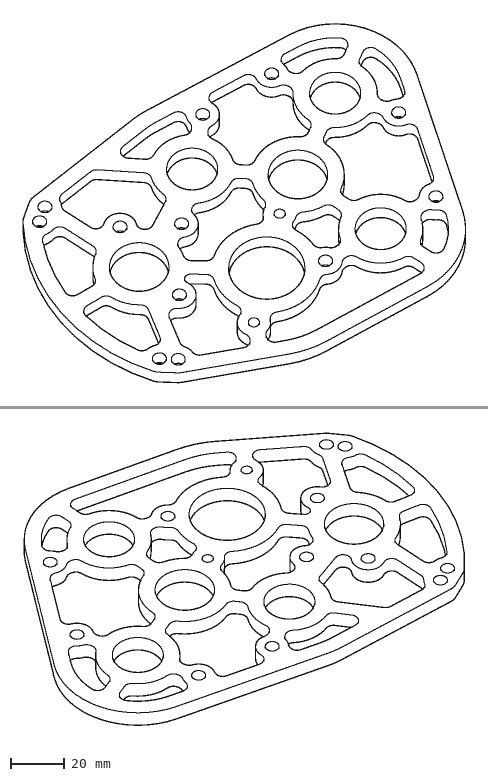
import cadquery as cq
import math

thickness = 6.5
rim_wall = thickness
wall = 6.3
bolt_radius = 2.6
dowel_radius = 2.0
boss_radius = wall
pitch_radius = 25.4
rim_radius = 31.8
wide_rim_radius = 40.3
bottom_y = -36.0

corner_radius = 3.1
tight_corner_radius = 2.0
tight_corner = (13.7, 11.8)
tight_corner_reach = 5.2

small_bore = 9.5
medium_bore = 11.1
large_bore = 14.3
low = (0, 0)
middle = (0, 73.0)
right = (28.2, 38.6)
left = (-25.0, 42.2)
top_left = (-22.2, 106.0)
top_right = (38.2, 83.8)
bores = [
    (low, medium_bore),
    (middle, medium_bore),
    (right, large_bore),
    (left, small_bore),
    (top_left, small_bore),
    (top_right, small_bore),
]


def polar(centre, radius, angle):
    """Point at a radius and an angle in degrees from a centre."""
    turn = math.radians(angle)
    return (centre[0] + radius * math.cos(turn), centre[1] + radius * math.sin(turn))


top_left_pair_angle = 34
top_right_pair_angle = 90
left_pair_angle = 135.5
right_pair_angle = 133.5
top_bolt = polar(top_left, pitch_radius, top_left_pair_angle)
upper_left_bolt = polar(top_left, pitch_radius, top_left_pair_angle + 180)
upper_right_bolt = polar(top_right, pitch_radius, top_right_pair_angle)
lower_right_bolt = polar(top_right, pitch_radius, top_right_pair_angle + 180)
lower_left_bolt = polar(left, pitch_radius, left_pair_angle)
centre_bolt = polar(left, pitch_radius, left_pair_angle + 180)
inner_dowel = polar(right, pitch_radius, right_pair_angle)
outer_dowel = polar(right, pitch_radius, right_pair_angle + 180)
dowels = [inner_dowel, outer_dowel]
bolts = [
    top_bolt,
    upper_left_bolt,
    upper_right_bolt,
    lower_right_bolt,
    lower_left_bolt,
    centre_bolt,
]

inner_bolt_x, inner_bolt_y = 19.1, 4.9
side_bolt_x, side_bolt_y = 43.0, -12.7
corner_bolt_x, corner_bolt_y = 38.6, -18.3
for side in (-1, 1):
    bolts.append((side * inner_bolt_x, inner_bolt_y))
    bolts.append((side * side_bolt_x, side_bolt_y))
    bolts.append((side * corner_bolt_x, corner_bolt_y))

boss_level = bottom_y + boss_radius
corner_bolt_rise = corner_bolt_y - boss_level
bottom_centre_y = (corner_bolt_x**2 + corner_bolt_y**2 - boss_level**2) / (2 * corner_bolt_rise)
bottom_radius = bottom_centre_y - bottom_y

rim_circles = [
    ((0, bottom_centre_y), bottom_radius),
    ((corner_bolt_x, corner_bolt_y), boss_radius),
    ((side_bolt_x, side_bolt_y), boss_radius),
    (right, wide_rim_radius),
    (top_right, rim_radius),
    (top_left, rim_radius),
    (left, rim_radius),
    ((-side_bolt_x, side_bolt_y), boss_radius),
    ((-corner_bolt_x, corner_bolt_y), boss_radius),
]

upper_left_rib_angle = top_left_pair_angle + 90
upper_right_rib_angle = 17
lower_left_rib_angle = 230
dowel_rib_angle = -23
long_rib = 38.2
short_rib = 13.9
rim_ribs = [
    (low, bottom_radius - bottom_centre_y - rim_wall / 2, 270),
    (top_left, rim_radius - rim_wall / 2, upper_left_rib_angle),
    (top_right, rim_radius - rim_wall / 2, upper_right_rib_angle),
    (left, long_rib, lower_left_rib_angle),
    (outer_dowel, short_rib, dowel_rib_angle),
    (lower_left_bolt, boss_radius + rim_wall / 2, 180),
]

ribs = [
    (low, left),
    (low, right),
    (middle, left),
    (middle, right),
    (middle, top_left),
    (middle, top_right),
    (left, lower_left_bolt),
    (top_left, top_bolt),
    (top_left, upper_left_bolt),
    (top_right, upper_right_bolt),
    (top_right, lower_right_bolt),
    (right, outer_dowel),
]
for side in (-1, 1):
    ribs.append((low, (side * side_bolt_x, side_bolt_y)))
    ribs.append((low, (side * inner_bolt_x, inner_bolt_y)))
for start, length, angle in rim_ribs:
    ribs.append((start, polar(start, length, angle)))


def tangent_angle(first, second):
    """Direction from each centre to its end of the tangent leaving the first circle for the second."""
    (x1, y1), r1 = first
    (x2, y2), r2 = second
    cosine = (r1 - r2) / math.hypot(x2 - x1, y2 - y1)
    lean = math.acos(max(-1, min(1, cosine)))
    return math.degrees(math.atan2(y2 - y1, x2 - x1) - lean)


def belt(circles):
    """Solid plate bounded by a belt pulled around the circles."""
    following = circles[1:] + circles[:1]
    leaving = [tangent_angle(first, second) for first, second in zip(circles, following)]
    shortest_line = 0.002
    outline = cq.Workplane("XY")
    arc_end = None
    for i, (centre, radius) in enumerate(circles):
        arriving = leaving[i - 1]
        sweep = (leaving[i] - arriving) % 360
        arc_start = polar(centre, radius, arriving)
        if arc_end is None:
            outline = outline.moveTo(*arc_start)
        elif math.dist(arc_start, arc_end) > shortest_line:
            outline = outline.lineTo(*arc_start)
        arc_end = polar(centre, radius, arriving + sweep)
        outline = outline.threePointArc(polar(centre, radius, arriving + sweep / 2), arc_end)
    return outline.close().extrude(thickness)


def disc(centre, radius):
    return cq.Workplane("XY").center(*centre).circle(radius).extrude(thickness)


def rib(start, end, width):
    """Straight bar of the given width whose centre line joins two points."""
    dx = end[0] - start[0]
    dy = end[1] - start[1]
    midpoint = (start[0] + dx / 2, start[1] + dy / 2, 0)
    direction = (0, 0, math.degrees(math.atan2(dy, dx)))
    bar = cq.Workplane("XY").transformed(offset=midpoint, rotate=direction)
    return bar.rect(math.hypot(dx, dy), width).extrude(thickness)


def rounded_windows(rounding):
    """Openings between rim, bosses and ribs, cut short by the rounding and grown back to round corners."""
    rim_outline = belt(rim_circles).faces("<Z").wires().toPending()
    space = rim_outline.offset2D(-rim_wall - rounding).extrude(thickness, combine=False)
    for centre, bore_radius in bores:
        space = space.cut(disc(centre, bore_radius + wall + rounding))
    for centre in bolts + dowels:
        space = space.cut(disc(centre, boss_radius + rounding))
    for start, end in ribs:
        space = space.cut(rib(start, end, wall + 2 * rounding))

    windows = []
    for core in space.solids().vals():
        core_outline = cq.Workplane("XY").add(core.faces("<Z").outerWire()).toPending()
        windows.append(core_outline.offset2D(rounding).extrude(thickness))
    return windows


plate = belt(rim_circles)
for window in rounded_windows(corner_radius):
    plate = plate.cut(window)

tight_region = disc(tight_corner, tight_corner_reach)
for window in rounded_windows(tight_corner_radius):
    plate = plate.cut(window.intersect(tight_region))

for centre, bore_radius in bores:
    plate = plate.cut(disc(centre, bore_radius))
for centre in bolts:
    plate = plate.cut(disc(centre, bolt_radius))
for centre in dowels:
    plate = plate.cut(disc(centre, dowel_radius))

result = plate